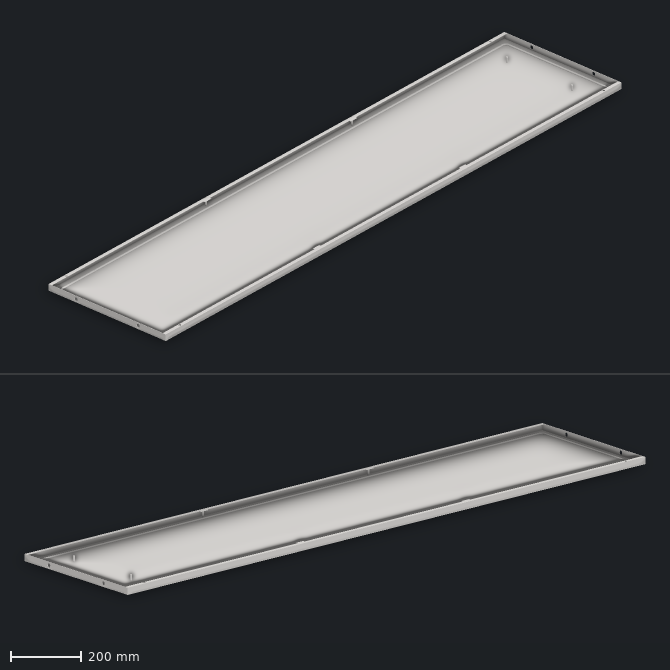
import cadquery as cq

WIDTH = 445.0
LENGTH = 1961.0
HEIGHT = 22.0
SHEET = 1.0
LIP_WIDTH = 12.0
LIP_BOTTOM = HEIGHT - SHEET
INNER_WIDTH = WIDTH - 2 * SHEET
INNER_LENGTH = LENGTH - 2 * SHEET
OPENING_WIDTH = WIDTH - 2 * LIP_WIDTH

TAB_LENGTH = 27.0
TAB_REACH = 5.0

LIP_HOLE_DIAMETER = 8.0
LIP_HOLE_INSET = 6.9
LIP_HOLE_X = WIDTH / 2 - LIP_HOLE_INSET
LIP_HOLE_Y = 912.0
END_HOLE_DIAMETER = 12.0
END_HOLE_X = 118.0

STUD_DIAMETER = 5.0
FLOOR_STUD_HEIGHT = 18.0
FLOOR_STUD_X = 124.0
FLOOR_STUD_Y = 880.0
LIP_STUD_HEIGHT = HEIGHT - SHEET
LIP_STUD_INSET = 10.0
LIP_STUD_X = WIDTH / 2 - LIP_STUD_INSET
LIP_STUD_Y = 314.0

BEAD_DIAMETER = 7.5
GASKET_WIDTH = 404.0
GASKET_LENGTH = 1924.0
GASKET_CORNER_RADIUS = 15.0


def mirrored_pair(x, y):
    """Two points, one on each side of the YZ plane."""
    return [(-x, y), (x, y)]


def mirrored_four(x, y):
    """Four points, mirrored in both X and Y."""
    return mirrored_pair(x, -y) + mirrored_pair(x, y)


def lip_plane():
    """Workplane on the underside of the lips."""
    return cq.Workplane("XY", origin=(0, 0, LIP_BOTTOM))


def floor_plane():
    """Workplane on the upper face of the floor."""
    return cq.Workplane("XY", origin=(0, 0, SHEET))


def make_shell():
    """Floor with four walls, and a lip turned inward along each long wall."""
    block = cq.Workplane("XY").box(WIDTH, LENGTH, HEIGHT, centered=(True, True, False))
    cavity = floor_plane().rect(INNER_WIDTH, INNER_LENGTH).extrude(LIP_BOTTOM - SHEET)
    opening = lip_plane().rect(OPENING_WIDTH, INNER_LENGTH).extrude(SHEET)
    return block.cut(cavity).cut(opening)


def make_tabs():
    """Tabs reaching inward from the edges of the lips, centred on the lip studs."""
    centers = mirrored_four((OPENING_WIDTH - TAB_REACH) / 2, LIP_STUD_Y)
    return lip_plane().pushPoints(centers).rect(TAB_REACH, TAB_LENGTH).extrude(SHEET)


def lip_hole_cutter(points, diameter):
    """Cylinders through the thickness of the lips and tabs."""
    return lip_plane().pushPoints(points).circle(diameter / 2).extrude(SHEET)


def end_hole_cutter():
    """Cylinders along Y through both end walls, at mid height."""
    return (
        cq.Workplane("XZ")
        .pushPoints(mirrored_pair(END_HOLE_X, HEIGHT / 2))
        .circle(END_HOLE_DIAMETER / 2)
        .extrude(LENGTH / 2, both=True)
    )


def make_tray():
    """Shell with its tabs, stud holes, lip holes and end holes."""
    stud_holes = lip_hole_cutter(mirrored_four(LIP_STUD_X, LIP_STUD_Y), STUD_DIAMETER)
    lip_holes = lip_hole_cutter(mirrored_four(LIP_HOLE_X, LIP_HOLE_Y), LIP_HOLE_DIAMETER)
    tray_body = make_shell().union(make_tabs())
    return tray_body.cut(stud_holes).cut(lip_holes).cut(end_hole_cutter())


def make_gasket():
    """Half-round bead swept along a rounded rectangle."""
    bead_radius = BEAD_DIAMETER / 2
    path_x = GASKET_WIDTH / 2 - bead_radius
    path_y = GASKET_LENGTH / 2 - bead_radius
    path_radius = GASKET_CORNER_RADIUS - bead_radius
    straight_x = path_x - path_radius
    straight_y = path_y - path_radius
    path = (
        floor_plane()
        .moveTo(path_x, 0)
        .lineTo(path_x, straight_y)
        .radiusArc((straight_x, path_y), -path_radius)
        .lineTo(-straight_x, path_y)
        .radiusArc((-path_x, straight_y), -path_radius)
        .lineTo(-path_x, -straight_y)
        .radiusArc((-straight_x, -path_y), -path_radius)
        .lineTo(straight_x, -path_y)
        .radiusArc((path_x, -straight_y), -path_radius)
        .close()
    )
    section = (
        cq.Workplane("XZ", origin=(path_x, 0, SHEET))
        .moveTo(-bead_radius, 0)
        .threePointArc((0, bead_radius), (bead_radius, 0))
        .close()
    )
    return section.sweep(path)


def make_stud(point, height):
    """Round stud standing on the floor at the given X, Y point."""
    return floor_plane().center(*point).circle(STUD_DIAMETER / 2).extrude(height)


tray = make_tray()
gasket = make_gasket()
floor_studs = [
    make_stud(point, FLOOR_STUD_HEIGHT).val() for point in mirrored_pair(FLOOR_STUD_X, FLOOR_STUD_Y)
]
lip_studs = [
    make_stud(point, LIP_STUD_HEIGHT).val() for point in mirrored_four(LIP_STUD_X, LIP_STUD_Y)
]

result = cq.Compound.makeCompound([tray.val(), gasket.val(), *floor_studs, *lip_studs])